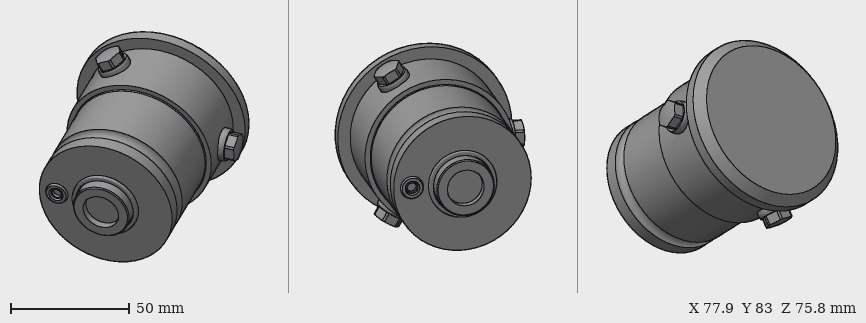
import cadquery as cq
import math

BACK_Y = 77.0
LENGTH = 83.0

FLANGE_RADIUS = 37.9
FLANGE_LENGTH = 9.0
FLANGE_CHAMFER = 4.1
SLEEVE_RADIUS = 32.5
SLEEVE_FRONT_Y = 41.1
BODY_RADIUS = 30.0
LIP_HEIGHT = 0.3
LIP_LENGTH = 0.6
GROOVE_CENTER_Y = 9.2
GROOVE_RADIUS = 3.1

SEAL_RADIUS = 14.8
SEAL_HEIGHT = 1.5
SEAL_ROUND = 0.6
SEAL_GAP = 0.4
HUB_RADIUS = 12.5
HUB_LENGTH = LENGTH - BACK_Y
HUB_CHAMFER = 0.5
HUB_HOLE_RADIUS = 8.0
HUB_HOLE_DEPTH = 3.3

PITCH_RADIUS = 22.0
PLUG_RADIUS = 4.0
PLUG_DEPTH = 4.15
NIPPLE_RADIUS = 5.0
NIPPLE_HEIGHT = 1.1
NIPPLE_TOP_RADIUS = 4.5
NIPPLE_INSET = NIPPLE_RADIUS - NIPPLE_TOP_RADIUS
NIPPLE_SIDE_ROUND = (NIPPLE_INSET**2 + NIPPLE_HEIGHT**2) / (2 * NIPPLE_INSET)
NIPPLE_MOUTH_RADIUS = 3.15
NIPPLE_SEAT_RADIUS = 2.65
NIPPLE_SEAT_DEPTH = 0.8
NIPPLE_BORE_RADIUS = 2.1
NIPPLE_BORE_DEPTH = 2.5

SCREW_COUNT = 3
SCREW_Y = BACK_Y - 21.0
SCREW_REACH = 40.0
SCREW_ROOT = 29.05
COLLAR_RADIUS = 7.05
COLLAR_TOP = 35.0
COLLAR_TAPER_LENGTH = 1.2
COLLAR_TAPER_WIDTH = 0.3
HEX_ACROSS_FLATS = 11.1
HEX_HALF_SIDE_ANGLE = 30
HEX_CORNER_RADIUS = 6.15
DOME_RADIUS = 22.4


def turn(profile):
    """Revolve an (X = radius, Y) profile about the Y axis."""
    return profile.close().revolve(360, (0, 0, 0), (0, 1, 0))


def make_body():
    flange_front_y = BACK_Y - FLANGE_LENGTH
    profile = (
        cq.Workplane("XY")
        .moveTo(0, 0)
        .lineTo(BODY_RADIUS, 0)
        .lineTo(BODY_RADIUS, GROOVE_CENTER_Y - GROOVE_RADIUS)
        .threePointArc(
            (BODY_RADIUS - GROOVE_RADIUS, GROOVE_CENTER_Y),
            (BODY_RADIUS, GROOVE_CENTER_Y + GROOVE_RADIUS),
        )
        .lineTo(BODY_RADIUS, SLEEVE_FRONT_Y - LIP_LENGTH)
        .lineTo(BODY_RADIUS + LIP_HEIGHT, SLEEVE_FRONT_Y)
        .lineTo(SLEEVE_RADIUS, SLEEVE_FRONT_Y)
        .lineTo(SLEEVE_RADIUS, flange_front_y)
        .lineTo(FLANGE_RADIUS, flange_front_y)
        .lineTo(FLANGE_RADIUS, BACK_Y - FLANGE_CHAMFER)
        .lineTo(FLANGE_RADIUS - FLANGE_CHAMFER, BACK_Y)
        .lineTo(0, BACK_Y)
    )
    return turn(profile)


def front_disc(radius, height, x=0.0, z=0.0):
    """Cylinder standing on the front face and pointing toward -Y."""
    return cq.Workplane("XZ").center(x, z).circle(radius).extrude(height)


def make_seal_ring():
    ring = front_disc(SEAL_RADIUS, SEAL_HEIGHT).faces("<Y").edges().fillet(SEAL_ROUND)
    return ring.cut(front_disc(HUB_RADIUS + SEAL_GAP, SEAL_HEIGHT))


def make_hub():
    hub = front_disc(HUB_RADIUS, HUB_LENGTH).faces("<Y").chamfer(HUB_CHAMFER)
    return hub.faces("<Y").workplane().hole(2 * HUB_HOLE_RADIUS, HUB_HOLE_DEPTH)


def make_nipple_head():
    """Low button whose rounded side starts square to the front face."""
    profile = (
        cq.Workplane("XY")
        .lineTo(NIPPLE_RADIUS, 0)
        .radiusArc((NIPPLE_TOP_RADIUS, -NIPPLE_HEIGHT), NIPPLE_SIDE_ROUND)
        .lineTo(0, -NIPPLE_HEIGHT)
    )
    return turn(profile).translate((-PITCH_RADIUS, 0, 0))


def make_nipple_bore():
    """Conical mouth, flat seat and narrower blind bore."""
    seat_y = NIPPLE_SEAT_DEPTH - NIPPLE_HEIGHT
    profile = (
        cq.Workplane("XY")
        .moveTo(0, -NIPPLE_HEIGHT)
        .lineTo(NIPPLE_MOUTH_RADIUS, -NIPPLE_HEIGHT)
        .lineTo(NIPPLE_SEAT_RADIUS, seat_y)
        .lineTo(NIPPLE_BORE_RADIUS, seat_y)
        .lineTo(NIPPLE_BORE_RADIUS, NIPPLE_BORE_DEPTH - NIPPLE_HEIGHT)
        .lineTo(0, NIPPLE_BORE_DEPTH - NIPPLE_HEIGHT)
    )
    return turn(profile).translate((-PITCH_RADIUS, 0, 0))


def make_screw():
    """Collared screw with a domed hexagon head, pointing toward +X."""
    taper_start = COLLAR_TOP - COLLAR_TAPER_LENGTH
    collar = (
        cq.Workplane("XY")
        .moveTo(SCREW_ROOT, 0)
        .lineTo(SCREW_ROOT, COLLAR_RADIUS)
        .lineTo(taper_start, COLLAR_RADIUS)
        .lineTo(COLLAR_TOP, COLLAR_RADIUS - COLLAR_TAPER_WIDTH)
        .lineTo(COLLAR_TOP, 0)
        .close()
        .revolve(360, (0, 0, 0), (1, 0, 0))
    )
    head_length = SCREW_REACH - SCREW_ROOT
    across_corners = HEX_ACROSS_FLATS / math.cos(math.radians(HEX_HALF_SIDE_ANGLE))
    base = cq.Workplane("YZ").workplane(offset=SCREW_ROOT)
    hexagon = base.polygon(6, across_corners).extrude(head_length)
    hexagon = hexagon.rotate((0, 0, 0), (1, 0, 0), HEX_HALF_SIDE_ANGLE)
    round_bar = base.circle(HEX_CORNER_RADIUS).extrude(head_length)
    dome = cq.Workplane("XY").sphere(DOME_RADIUS).translate((SCREW_REACH - DOME_RADIUS, 0, 0))
    head = hexagon.intersect(round_bar).intersect(dome)
    return collar.union(head).translate((0, SCREW_Y, 0))


def add_flush_plugs(body):
    """Fit plugs level with the front face; skipping the clean-up keeps their outlines on it."""
    offset = PITCH_RADIUS * math.cos(math.radians(45))
    for x in (-offset, offset):
        for z in (-offset, offset):
            plug = front_disc(PLUG_RADIUS, -PLUG_DEPTH, x, z)
            body = body.cut(plug, clean=False).union(plug, clean=False)
    return body


result = make_body().union(make_seal_ring()).union(make_hub())
result = result.union(make_nipple_head()).cut(make_nipple_bore())
for index in range(SCREW_COUNT):
    angle = index * 360 / SCREW_COUNT
    result = result.union(make_screw().rotate((0, 0, 0), (0, 1, 0), angle))
result = add_flush_plugs(result)